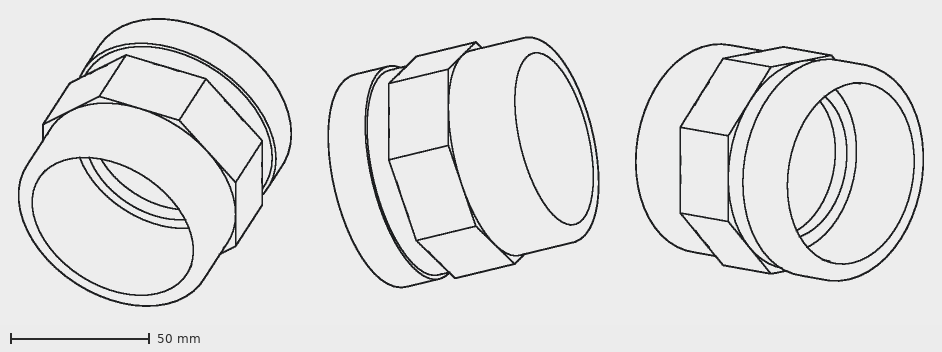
import cadquery as cq

length = 72.5
body_diameter = 76.0
body_edge_radius = 2.3

collar_diameter = 79.0
collar_width = 16.0
collar_edge_radius = 2.85

wrench_start = 23.7
wrench_width = 24.0
wrench_sides = 8

stop_diameter = 55.0

front_socket_diameter = 63.0
front_mouth_diameter = 63.6
front_socket_depth = 38.3

rear_socket_diameter = 65.0
rear_mouth_diameter = 66.0
rear_socket_depth = 28.45

mouth_depth = 3.95


def cylinder(diameter, start, width):
    """Solid cylinder along +Y, beginning at Y = start."""
    return cq.Workplane("XZ", origin=(0, start, 0)).circle(diameter / 2).extrude(-width)


def wrench_section():
    """Octagon with flats facing the X and Z directions."""
    return (
        cq.Workplane("XZ", origin=(0, wrench_start, 0))
        .polygon(wrench_sides, body_diameter, circumscribed=True)
        .extrude(-wrench_width)
    )


def bore():
    """Revolved cutter for the two tapered-mouth sockets and the stop."""
    stop_start = front_socket_depth
    stop_end = length - rear_socket_depth
    profile = [
        (0, 0),
        (front_mouth_diameter / 2, 0),
        (front_socket_diameter / 2, mouth_depth),
        (front_socket_diameter / 2, stop_start),
        (stop_diameter / 2, stop_start),
        (stop_diameter / 2, stop_end),
        (rear_socket_diameter / 2, stop_end),
        (rear_socket_diameter / 2, length - mouth_depth),
        (rear_mouth_diameter / 2, length),
        (0, length),
    ]
    return cq.Workplane("XY").polyline(profile).close().revolve(360, (0, 0, 0), (0, 1, 0))


body_length = length - collar_width / 2
body = cylinder(body_diameter, 0, body_length).faces("<Y").edges().fillet(body_edge_radius)

collar = cylinder(collar_diameter, length - collar_width, collar_width)
collar = collar.faces(">Y").edges().fillet(collar_edge_radius)

result = body.union(collar).union(wrench_section()).cut(bore())